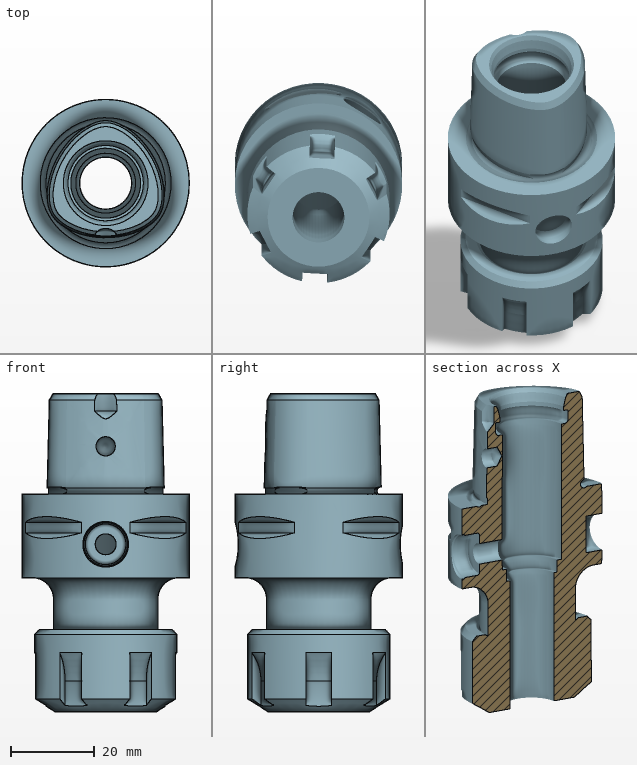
import cadquery as cq
import math

SHANK_LENGTH = 24.0
OVERHANG = 52.0

SHANK_DIAMETER = 28.0
LOBE_HEIGHT = 0.95
LOBE_COUNT = 3
TAPER = 1 / 20
TAPER_START = 1.5
BAND_INSET = 0.3
BAND_SUNK_DEPTH = 1.0
SAMPLES_PER_CURVE = 12
NOSE_CHAMFER_HEIGHT = 1.6
NOSE_CHAMFER_ANGLE = 30.0

RELIEF_RADIUS = 1.0
RELIEF_CENTER_RADIUS = 14.95
RELIEF_CENTER_Z = 0.72

FLANGE_DIAMETER = 40.0
FLANGE_LENGTH = 20.0
NECK_DIAMETER = 25.0
NECK_FILLET = 5.0

NUT_DIAMETER = 34.0
NUT_TOP_Z = -32.3
NUT_CHAMFER = 1.2
NUT_MOUTH_DIAMETER = 26.6
NUT_MOUTH_DEPTH = 0.5
NUT_CONE_START_Z = -48.9
NUT_FACE_DIAMETER = 24.3

SLOT_COUNT = 6
SLOT_WIDTH = 6.0
SLOT_FLOOR_DISTANCE = 14.2
SLOT_TOP_Z = -37.9
SLOT_RUNOUT_Z = -44.65

GRIP_COUNT = 4
GRIP_Z = -8.0
GRIP_FLOOR_DISTANCE = 17.63
GRIP_FLOOR_WIDTH = 2.5
GRIP_SIDE_ANGLE = 30.0

SIDE_HOLE_Z = -12.0
FRONT_MOUTH_DIAMETER = 10.9
FRONT_HOLE_DIAMETER = 10.4
FRONT_FLOOR_DIAMETER = 9.7
FRONT_HOLE_FLOOR = 15.0
FRONT_INNER_DIAMETER = 5.0
REAR_HOLE_DIAMETER = 9.0
REAR_HOLE_FLOOR = 15.5

DIMPLE_DIAMETER = 4.6
DIMPLE_Z = 11.4
DIMPLE_STRAIGHT_DEPTH = 2.9
DIMPLE_TIP_ANGLE = 120.0
NOTCH_DIAMETER = 6.0
NOTCH_CENTER_Y = -13.8
NOTCH_DEPTH = 4.2
NOTCH_TIP_ANGLE = 90.0

MOUTH_DIAMETER = 20.25
ENTRY_DIAMETER = 19.1
ENTRY_DEPTH = 1.0
LIP_DIAMETER = 18.0
LIP_TOP_DEPTH = 3.2
LIP_BOTTOM_DEPTH = 4.2
CAVITY_DIAMETER = 20.5
CAVITY_DEPTH = 7.35
CAVITY_FILLET = 0.8
CORE_DIAMETER = 16.7
CORE_DEPTH = 41.0
STEP_DIAMETER = 14.3
STEP_DEPTH = 44.0
THROUGH_DIAMETER = 12.38

flange_radius = FLANGE_DIAMETER / 2
neck_radius = NECK_DIAMETER / 2
nut_radius = NUT_DIAMETER / 2
slot_corner_radius = math.hypot(SLOT_FLOOR_DISTANCE, SLOT_WIDTH / 2)


def lobed_point(radius, normal_angle):
    """Point of the constant-width outline whose outward normal has the given angle."""
    phase = LOBE_COUNT * (normal_angle - math.pi / 2)
    support = radius + LOBE_HEIGHT * math.cos(phase)
    slope = -LOBE_COUNT * LOBE_HEIGHT * math.sin(phase)
    cosine = math.cos(normal_angle)
    sine = math.sin(normal_angle)
    return (support * cosine - slope * sine, support * sine + slope * cosine)


def lobed_wire(radius, z):
    """Closed outline of alternating lobe and flank curves."""
    piece_count = 2 * LOBE_COUNT
    span = 2 * math.pi / piece_count
    edges = []
    for piece in range(piece_count):
        angles = [span * (piece + i / SAMPLES_PER_CURVE) for i in range(SAMPLES_PER_CURVE + 1)]
        points = [cq.Vector(*lobed_point(radius, angle), z) for angle in angles]
        tangents = [cq.Vector(-math.sin(a), math.cos(a), 0) for a in (angles[0], angles[-1])]
        edges.append(cq.Edge.makeSpline(points, tangents=tangents))
    return cq.Wire.assembleEdges(edges)


def lobed_frustum(low_radius, low_z, high_radius, high_z):
    wires = [lobed_wire(low_radius, low_z), lobed_wire(high_radius, high_z)]
    return cq.Workplane(cq.Solid.makeLoft(wires, True))


def make_shank():
    base_radius = SHANK_DIAMETER / 2
    nose_z = SHANK_LENGTH - NOSE_CHAMFER_HEIGHT
    nose_radius = base_radius - (nose_z - TAPER_START) * TAPER / 2
    nose_inset = NOSE_CHAMFER_HEIGHT * math.tan(math.radians(NOSE_CHAMFER_ANGLE))
    band_radius = base_radius - BAND_INSET
    band = lobed_frustum(band_radius, -BAND_SUNK_DEPTH, band_radius, TAPER_START)
    taper = lobed_frustum(base_radius, TAPER_START, nose_radius, nose_z)
    nose = lobed_frustum(nose_radius, nose_z, nose_radius - nose_inset, SHANK_LENGTH)
    return band.union(taper).union(nose)


def make_turned_body():
    """Flange, neck and nut turned about Z."""
    arc_x = neck_radius + NECK_FILLET * (1 - math.sqrt(0.5))
    arc_z = -FLANGE_LENGTH - NECK_FILLET * (1 - math.sqrt(0.5))
    return (
        cq.Workplane("XZ")
        .moveTo(0, 0)
        .lineTo(flange_radius, 0)
        .lineTo(flange_radius, -FLANGE_LENGTH)
        .lineTo(neck_radius + NECK_FILLET, -FLANGE_LENGTH)
        .threePointArc((arc_x, arc_z), (neck_radius, -FLANGE_LENGTH - NECK_FILLET))
        .lineTo(neck_radius, NUT_TOP_Z - NUT_MOUTH_DEPTH)
        .lineTo(NUT_MOUTH_DIAMETER / 2, NUT_TOP_Z)
        .lineTo(nut_radius - NUT_CHAMFER, NUT_TOP_Z)
        .lineTo(nut_radius, NUT_TOP_Z - NUT_CHAMFER)
        .lineTo(nut_radius, NUT_CONE_START_Z)
        .lineTo(NUT_FACE_DIAMETER / 2, -OVERHANG)
        .lineTo(0, -OVERHANG)
        .close()
        .revolve(360, (0, 0), (0, 1))
    )


def make_relief():
    return (
        cq.Workplane("XZ")
        .center(RELIEF_CENTER_RADIUS, RELIEF_CENTER_Z)
        .circle(RELIEF_RADIUS)
        .revolve(360, (-RELIEF_CENTER_RADIUS, 0), (-RELIEF_CENTER_RADIUS, 1))
    )


def make_bore():
    """Stepped bore with an undercut cavity behind the lip, rounded at its floor."""
    cavity_radius = CAVITY_DIAMETER / 2
    cavity_floor_z = SHANK_LENGTH - CAVITY_DEPTH
    arc_inset = CAVITY_FILLET * (1 - math.sqrt(0.5))
    return (
        cq.Workplane("XZ")
        .moveTo(0, SHANK_LENGTH)
        .lineTo(MOUTH_DIAMETER / 2, SHANK_LENGTH)
        .lineTo(ENTRY_DIAMETER / 2, SHANK_LENGTH - ENTRY_DEPTH)
        .lineTo(LIP_DIAMETER / 2, SHANK_LENGTH - LIP_TOP_DEPTH)
        .lineTo(LIP_DIAMETER / 2, SHANK_LENGTH - LIP_BOTTOM_DEPTH)
        .lineTo(cavity_radius, SHANK_LENGTH - LIP_BOTTOM_DEPTH)
        .lineTo(cavity_radius, cavity_floor_z + CAVITY_FILLET)
        .threePointArc(
            (cavity_radius - arc_inset, cavity_floor_z + arc_inset),
            (cavity_radius - CAVITY_FILLET, cavity_floor_z),
        )
        .lineTo(CORE_DIAMETER / 2, cavity_floor_z)
        .lineTo(CORE_DIAMETER / 2, SHANK_LENGTH - CORE_DEPTH)
        .lineTo(STEP_DIAMETER / 2, SHANK_LENGTH - CORE_DEPTH)
        .lineTo(STEP_DIAMETER / 2, SHANK_LENGTH - STEP_DEPTH)
        .lineTo(THROUGH_DIAMETER / 2, SHANK_LENGTH - STEP_DEPTH)
        .lineTo(THROUGH_DIAMETER / 2, -OVERHANG)
        .lineTo(0, -OVERHANG)
        .close()
        .revolve(360, (0, 0), (0, 1))
    )


def make_slot_runout():
    """Ring around the nut whose inner face curves from the slot end to the slot floor corners."""
    run = SLOT_TOP_Z - SLOT_RUNOUT_Z
    depth = nut_radius - slot_corner_radius
    arc_radius = (run**2 + depth**2) / (2 * depth)
    half_angle = math.asin(run / arc_radius) / 2
    arc_middle = (
        slot_corner_radius + arc_radius * (1 - math.cos(half_angle)),
        SLOT_RUNOUT_Z + arc_radius * math.sin(half_angle),
    )
    return (
        cq.Workplane("XZ")
        .moveTo(slot_corner_radius, SLOT_RUNOUT_Z)
        .threePointArc(arc_middle, (nut_radius, SLOT_TOP_Z))
        .lineTo(flange_radius, SLOT_TOP_Z)
        .lineTo(flange_radius, SLOT_RUNOUT_Z)
        .close()
        .revolve(360, (0, 0), (0, 1))
    )


def slot_box(bottom_z, top_z):
    """Block on +X, as wide as a slot, standing on the slot floor."""
    return cq.Workplane("XY", origin=(SLOT_FLOOR_DISTANCE, 0, bottom_z)).box(
        flange_radius - SLOT_FLOOR_DISTANCE, SLOT_WIDTH, top_z - bottom_z, centered=(False, True, False)
    )


def make_spanner_slot():
    """Slot on +X: a curved run-out at the top, then a flat floor open to the nut face."""
    runout = slot_box(SLOT_RUNOUT_Z, SLOT_TOP_Z).intersect(make_slot_runout())
    return slot_box(-OVERHANG, SLOT_RUNOUT_Z).union(runout)


def make_grip_groove():
    """Straight groove across +X with a flat floor and flared sides."""
    floor_half = GRIP_FLOOR_WIDTH / 2
    depth = flange_radius - GRIP_FLOOR_DISTANCE
    mouth_half = floor_half + depth * math.tan(math.radians(GRIP_SIDE_ANGLE))
    return (
        cq.Workplane("XZ")
        .center(0, GRIP_Z)
        .moveTo(GRIP_FLOOR_DISTANCE, -floor_half)
        .lineTo(flange_radius, -mouth_half)
        .lineTo(flange_radius, mouth_half)
        .lineTo(GRIP_FLOOR_DISTANCE, floor_half)
        .close()
        .extrude(flange_radius, both=True)
    )


def radial_cylinder(diameter, inner_y, outer_y):
    """Cylinder along Y at the height of the flange holes."""
    plane = cq.Workplane("XZ", origin=(0, outer_y, SIDE_HOLE_Z))
    return plane.circle(diameter / 2).extrude(outer_y - inner_y)


def make_front_hole():
    """Hole on -Y with chamfered mouth and floor corner, and a passage into the bore."""
    passage_radius = FRONT_INNER_DIAMETER / 2
    hole_radius = FRONT_HOLE_DIAMETER / 2
    mouth_radius = FRONT_MOUTH_DIAMETER / 2
    floor_radius = FRONT_FLOOR_DIAMETER / 2
    mouth_y = -math.sqrt(flange_radius**2 - mouth_radius**2)
    return (
        cq.Workplane("XY", origin=(0, 0, SIDE_HOLE_Z))
        .moveTo(0, 0)
        .lineTo(passage_radius, 0)
        .lineTo(passage_radius, -FRONT_HOLE_FLOOR)
        .lineTo(floor_radius, -FRONT_HOLE_FLOOR)
        .lineTo(hole_radius, -FRONT_HOLE_FLOOR - (hole_radius - floor_radius))
        .lineTo(hole_radius, mouth_y + (mouth_radius - hole_radius))
        .lineTo(mouth_radius, mouth_y)
        .lineTo(mouth_radius, -flange_radius)
        .lineTo(0, -flange_radius)
        .close()
        .revolve(360, (0, 0), (0, 1))
    )


def make_rear_hole():
    return radial_cylinder(REAR_HOLE_DIAMETER, REAR_HOLE_FLOOR, flange_radius)


def tip_depth(radius, tip_angle):
    return radius / math.tan(math.radians(tip_angle / 2))


def make_dimple():
    """Blind drilled dimple on the -Y flank."""
    radius = DIMPLE_DIAMETER / 2
    flank_distance = SHANK_DIAMETER / 2 - LOBE_HEIGHT - (DIMPLE_Z - TAPER_START) * TAPER / 2
    cone_y = -flank_distance + DIMPLE_STRAIGHT_DEPTH
    return (
        cq.Workplane("XY", origin=(0, 0, DIMPLE_Z))
        .moveTo(0, -flange_radius)
        .lineTo(radius, -flange_radius)
        .lineTo(radius, cone_y)
        .lineTo(0, cone_y + tip_depth(radius, DIMPLE_TIP_ANGLE))
        .close()
        .revolve(360, (0, 0), (0, 1))
    )


def make_notch():
    """Drilled notch along Z, open to the shank end and to the -Y flank."""
    radius = NOTCH_DIAMETER / 2
    floor_z = SHANK_LENGTH - NOTCH_DEPTH
    return (
        cq.Workplane("XZ", origin=(0, NOTCH_CENTER_Y, 0))
        .moveTo(0, SHANK_LENGTH)
        .lineTo(radius, SHANK_LENGTH)
        .lineTo(radius, floor_z)
        .lineTo(0, floor_z - tip_depth(radius, NOTCH_TIP_ANGLE))
        .close()
        .revolve(360, (0, 0), (0, 1))
    )


def cut_around(body, tool, count, first_angle):
    """Cut equally spaced copies of a tool around Z."""
    for index in range(count):
        angle = first_angle + index * 360 / count
        body = body.cut(tool.rotate((0, 0, 0), (0, 0, 1), angle))
    return body


part = make_turned_body().union(make_shank())
part = part.cut(make_relief())
part = part.cut(make_bore())
part = cut_around(part, make_spanner_slot(), SLOT_COUNT, 0)
part = cut_around(part, make_grip_groove(), GRIP_COUNT, 180 / GRIP_COUNT)
part = part.cut(make_front_hole())
part = part.cut(make_rear_hole())
part = part.cut(make_dimple())
result = part.cut(make_notch())